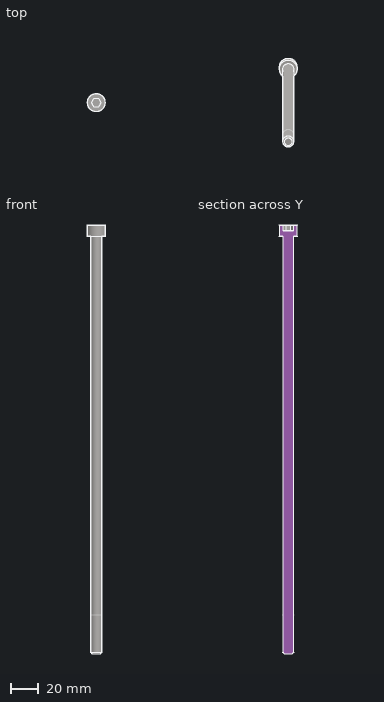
import cadquery as cq
import math

SHANK_DIAMETER = 8.0
SHANK_LENGTH = 300.0
THREAD_LENGTH = 28.0
TIP_CHAMFER = 1.25

HEAD_DIAMETER = 13.0
HEAD_HEIGHT = SHANK_DIAMETER

SOCKET_ACROSS_FLATS = 6.0
SOCKET_DEPTH = HEAD_HEIGHT / 2

plain_length = SHANK_LENGTH - THREAD_LENGTH
socket_across_corners = SOCKET_ACROSS_FLATS / math.cos(math.pi / 6)


def make_head():
    """Cylindrical head with a hexagon socket, two corners along X."""
    head = cq.Workplane("XY").circle(HEAD_DIAMETER / 2).extrude(HEAD_HEIGHT)
    socket = (
        cq.Workplane("XY")
        .workplane(offset=HEAD_HEIGHT - SOCKET_DEPTH)
        .polygon(6, socket_across_corners)
        .extrude(SOCKET_DEPTH)
    )
    return head.cut(socket)


def make_plain_shank():
    return cq.Workplane("XY").circle(SHANK_DIAMETER / 2).extrude(-plain_length)


def make_threaded_end():
    """Thread envelope at the nominal diameter, chamfered at the tip."""
    return (
        cq.Workplane("XY")
        .workplane(offset=-plain_length)
        .circle(SHANK_DIAMETER / 2)
        .extrude(-THREAD_LENGTH)
        .faces("<Z")
        .chamfer(TIP_CHAMFER)
    )


result = (
    make_head()
    .union(make_plain_shank(), clean=False)
    .union(make_threaded_end(), clean=False)
)